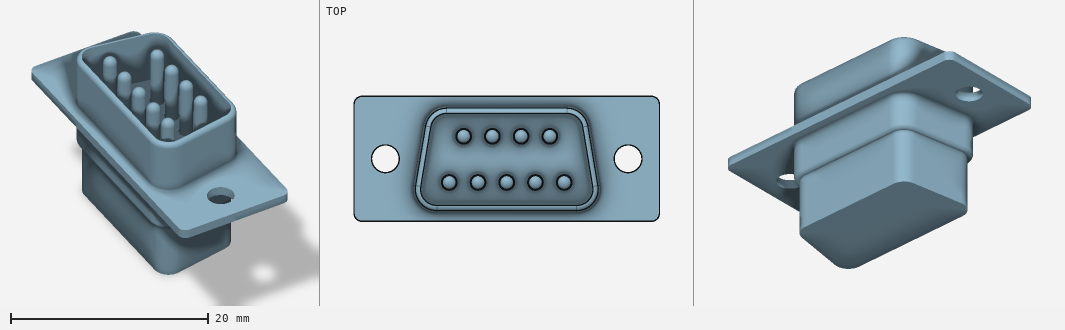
import cadquery as cq
import math

FLANGE_LENGTH = 30.95
FLANGE_WIDTH = 12.7
FLANGE_THICKNESS = 1.02
FLANGE_CORNER_RADIUS = 0.85
MOUNTING_HOLE_DIAMETER = 2.8
MOUNTING_HOLE_SPACING = 24.57

SHELL_LENGTH = 18.5
SHELL_WIDTH = 10.35
SHELL_CORNER_RADIUS = 2.17
SHELL_SIDE_ANGLE = 9.5
SHELL_CENTER_Y = -0.05
WALL_THICKNESS = 0.53
TAIL_INSET = 0.55
EDGE_RADIUS = 0.5
FOOT_RADIUS = 0.25

SHELL_HEIGHT_ABOVE_FLANGE = 5.9
SHELL_DEPTH_BELOW_FLANGE = 4.05
TAIL_DEPTH = 6.2
FLOOR_Z = 1.02
SHELL_TOP_Z = FLANGE_THICKNESS + SHELL_HEIGHT_ABOVE_FLANGE
SHELL_BOTTOM_Z = -SHELL_DEPTH_BELOW_FLANGE
TAIL_BOTTOM_Z = SHELL_BOTTOM_Z - TAIL_DEPTH

PIN_DIAMETER = 1.4
PIN_HOLE_DIAMETER = 1.58
PIN_HOLE_DEPTH = 0.3
PIN_PITCH = 2.9
PIN_ROW_SPACING = 4.67
PIN_RISE_ABOVE_SHELL = 0.53
FRONT_ROW_PINS = 5
BACK_ROW_PINS = 4
PIN_RADIUS = PIN_DIAMETER / 2
PIN_FOOT_Z = FLOOR_Z - PIN_HOLE_DEPTH
PIN_TIP_Z = SHELL_TOP_Z + PIN_RISE_ABOVE_SHELL


def d_prism(inset, bottom_z, top_z):
    """Prism on the shell's outline moved inward by `inset`; the corner arcs keep their centers."""
    angle = math.radians(SHELL_SIDE_ANGLE)
    radius = SHELL_CORNER_RADIUS - inset
    half_rise = SHELL_WIDTH / 2 - SHELL_CORNER_RADIUS
    front_x = SHELL_LENGTH / 2 - SHELL_CORNER_RADIUS
    back_x = front_x - 2 * half_rise * math.tan(angle)

    def on_arc(center_x, center_y, direction):
        return (center_x + radius * math.cos(direction), center_y + radius * math.sin(direction))

    down = -math.pi / 2
    up = math.pi / 2
    front_start = on_arc(front_x, -half_rise, down)
    front_middle = on_arc(front_x, -half_rise, (down + angle) / 2)
    front_end = on_arc(front_x, -half_rise, angle)
    back_start = on_arc(back_x, half_rise, angle)
    back_middle = on_arc(back_x, half_rise, (angle + up) / 2)
    back_end = on_arc(back_x, half_rise, up)

    def mirrored(point):
        return (-point[0], point[1])

    return (
        cq.Workplane("XY", origin=(0, SHELL_CENTER_Y, bottom_z))
        .moveTo(*front_start)
        .threePointArc(front_middle, front_end)
        .lineTo(*back_start)
        .threePointArc(back_middle, back_end)
        .lineTo(*mirrored(back_end))
        .threePointArc(mirrored(back_middle), mirrored(back_start))
        .lineTo(*mirrored(front_end))
        .threePointArc(mirrored(front_middle), mirrored(front_start))
        .close()
        .extrude(top_z - bottom_z)
    )


def make_flange():
    return (
        cq.Workplane("XY")
        .rect(FLANGE_LENGTH, FLANGE_WIDTH)
        .extrude(FLANGE_THICKNESS)
        .edges("|Z")
        .fillet(FLANGE_CORNER_RADIUS)
        .faces(">Z")
        .workplane()
        .pushPoints([(-MOUNTING_HOLE_SPACING / 2, 0), (MOUNTING_HOLE_SPACING / 2, 0)])
        .hole(MOUNTING_HOLE_DIAMETER)
    )


def shell_outline_edges(body, z):
    """Edges lying at height z on the shell's outline, which stays clear of the flange's rim and holes."""
    margin = 0.03
    half_length = SHELL_LENGTH / 2 + margin
    half_width = SHELL_WIDTH / 2 + margin
    return body.edges(
        cq.selectors.BoxSelector(
            (-half_length, SHELL_CENTER_Y - half_width, z - margin),
            (half_length, SHELL_CENTER_Y + half_width, z + margin),
        )
    )


def make_housing():
    """Flange, shell and tail block as one solid, open at the top around the pins."""
    shell = d_prism(0, SHELL_BOTTOM_Z, SHELL_TOP_Z).faces("<Z or >Z").edges().fillet(EDGE_RADIUS)
    body = make_flange().union(shell)
    for flange_face_z in (0, FLANGE_THICKNESS):
        body = shell_outline_edges(body, flange_face_z).fillet(FOOT_RADIUS)
    tail = d_prism(TAIL_INSET, TAIL_BOTTOM_Z, SHELL_BOTTOM_Z)
    cavity = d_prism(WALL_THICKNESS, FLOOR_Z, SHELL_TOP_Z)
    pin_holes = (
        cq.Workplane("XY", origin=(0, 0, PIN_FOOT_Z))
        .pushPoints(pin_positions())
        .circle(PIN_HOLE_DIAMETER / 2)
        .extrude(PIN_HOLE_DEPTH)
    )
    return body.union(tail).cut(cavity).cut(pin_holes)


def pin_positions():
    positions = []
    for count, side in ((FRONT_ROW_PINS, -1), (BACK_ROW_PINS, 1)):
        y = SHELL_CENTER_Y + side * PIN_ROW_SPACING / 2
        for index in range(count):
            x = (index - (count - 1) / 2) * PIN_PITCH
            positions.append((x, y))
    return positions


def make_pin(x, y):
    """Pin with a hemispherical tip, standing on the bottom of its hole."""
    tip_center_z = PIN_TIP_Z - PIN_RADIUS
    return (
        cq.Workplane("XZ", origin=(x, y, 0))
        .moveTo(0, PIN_FOOT_Z)
        .lineTo(PIN_RADIUS, PIN_FOOT_Z)
        .lineTo(PIN_RADIUS, tip_center_z)
        .radiusArc((0, PIN_TIP_Z), -PIN_RADIUS)
        .close()
        .revolve()
    )


housing = make_housing()
pins = [make_pin(x, y) for x, y in pin_positions()]
result = cq.Compound.makeCompound([housing.val(), *[pin.val() for pin in pins]])